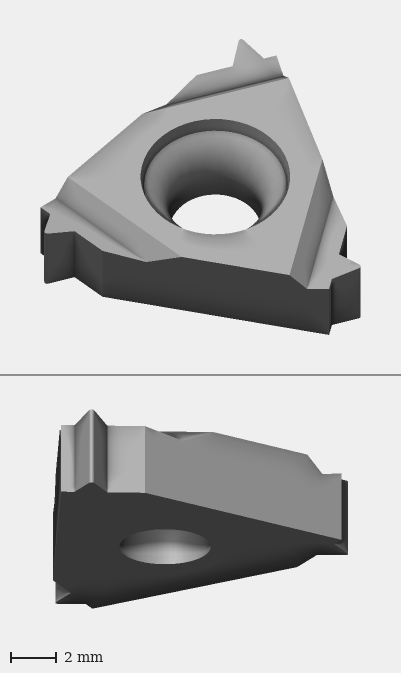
import cadquery as cq
import math

thickness = 3.65
inscribed_radius = 9.525 / 2
corner_count = 3
corner_step = 360 / corner_count
side_tilt = math.radians(corner_step - 90)

root_distance = 6.13
tip_distance = 7.25
tooth_x = -3.464
flank_angle = math.radians(30)
tip_radius = 0.125

groove_distance = 5.15
groove_floor_z = 2.892
rake_angle = math.radians(15)
back_wall_width = 0.79

hole_radius = 2.0
seat_top_radius = 3.27
seat_radius = 3.12
seat_cone_depth = 0.62
seat_arc_radius = 2.0

tip_center_y = tip_radius - tip_distance
apex_height = tip_distance - root_distance + tip_radius * (1 / math.sin(flank_angle) - 1)
tooth_half_base = apex_height * math.tan(flank_angle)
tip_half_chord = tip_radius * math.cos(flank_angle)
tip_chord_y = tip_center_y - tip_radius * math.sin(flank_angle)
corner_end_x = (inscribed_radius - root_distance * math.cos(side_tilt)) / math.sin(side_tilt)


def rotated(point, degrees):
    """Turn a point about the hole axis."""
    x, y = point
    angle = math.radians(degrees)
    return (
        x * math.cos(angle) - y * math.sin(angle),
        x * math.sin(angle) + y * math.cos(angle),
    )


def add_corner(outline, degrees):
    """Continue the outline counter-clockwise around one corner and its round-tipped tooth."""

    def turned(x, y):
        return rotated((x, y), degrees)

    return (
        outline.lineTo(*turned(-inscribed_radius, -root_distance))
        .lineTo(*turned(tooth_x - tooth_half_base, -root_distance))
        .lineTo(*turned(tooth_x - tip_half_chord, tip_chord_y))
        .threePointArc(
            turned(tooth_x, -tip_distance),
            turned(tooth_x + tip_half_chord, tip_chord_y),
        )
        .lineTo(*turned(tooth_x + tooth_half_base, -root_distance))
        .lineTo(*turned(corner_end_x, -root_distance))
    )


def make_body():
    """Triangular plate with blunted corners and a tooth on each of them."""
    last_corner_end = rotated((corner_end_x, -root_distance), -corner_step)
    outline = cq.Workplane("XY").moveTo(*last_corner_end)
    for corner in range(corner_count):
        outline = add_corner(outline, corner * corner_step)
    return outline.close().extrude(thickness)


def make_groove():
    """Material above the rake face and back wall of the -Y corner."""
    reach = 2 * tip_distance
    rake_run = reach - groove_distance
    back_wall_y = back_wall_width - groove_distance
    profile = [
        (back_wall_y, thickness),
        (-groove_distance, groove_floor_z),
        (-reach, groove_floor_z + rake_run * math.tan(rake_angle)),
        (-reach, 2 * thickness),
        (back_wall_y, 2 * thickness),
    ]
    return cq.Workplane("YZ").polyline(profile).close().extrude(reach, both=True)


def make_hole():
    """Through hole opening into a convex seat and a short cone at the top."""
    arc_angle = math.acos(1 - (seat_radius - hole_radius) / seat_arc_radius)
    seat_z = thickness - seat_cone_depth
    throat_z = seat_z - seat_arc_radius * math.sin(arc_angle)
    arc_center_x = hole_radius + seat_arc_radius
    arc_middle = (
        arc_center_x - seat_arc_radius * math.cos(arc_angle / 2),
        throat_z + seat_arc_radius * math.sin(arc_angle / 2),
    )
    return (
        cq.Workplane("XZ")
        .lineTo(hole_radius, 0)
        .lineTo(hole_radius, throat_z)
        .threePointArc(arc_middle, (seat_radius, seat_z))
        .lineTo(seat_top_radius, thickness)
        .lineTo(0, thickness)
        .close()
        .revolve(360, (0, 0), (0, 1))
    )


result = make_body().cut(make_hole())
for corner in range(corner_count):
    result = result.cut(make_groove().rotate((0, 0, 0), (0, 0, 1), corner * corner_step))